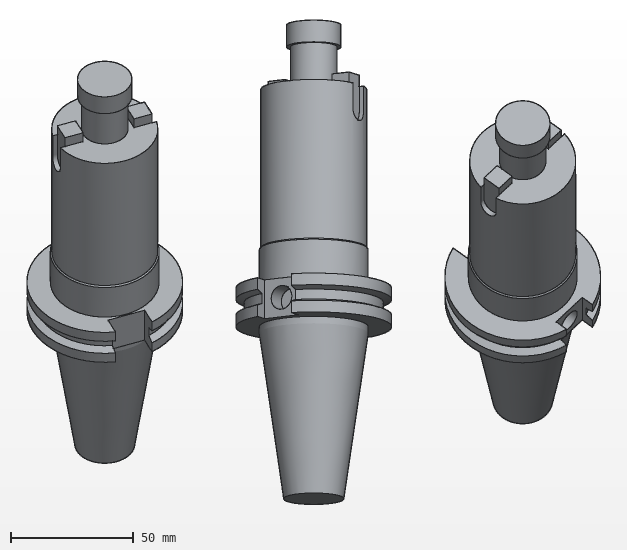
import cadquery as cq

TOTAL_HEIGHT = 196.7
TAPER_TOP = 68.5
FLANGE_BOTTOM = 71.5
FLANGE_TOP = 87.5
COLLAR_TOP = 104.0
BODY_TOP = 170.0
PILOT_TOP = 187.7

TAPER_SMALL_DIAMETER = 24.5
GAUGE_DIAMETER = 44.5
FLANGE_DIAMETER = 63.5
BODY_DIAMETER = 43.3
PILOT_DIAMETER = 19.0
SCREW_HEAD_DIAMETER = 22.2

GROOVE_DEPTH = 3.3
GROOVE_MOUTH = 6.5
GROOVE_FLANK_HEIGHT = 1.2

DRIVE_SLOT_WIDTH = 16.1
LEFT_SLOT_FLOOR = 25.2
RIGHT_SLOT_FLOOR = 22.8
FLOOR_HOLE_DIAMETER = 9.8
FLOOR_HOLE_DEPTH = 7.9

KEY_WIDTH = 8.0
KEY_OUTER_FACE = 19.3
KEY_RISE = 4.7
KEY_DROP = 15.0

KEY_INNER_FACE = KEY_OUTER_FACE - KEY_WIDTH
FLANGE_MIDDLE = (FLANGE_BOTTOM + FLANGE_TOP) / 2


def turned_holder():
    """Taper, grooved flange, collar, body and pilot in one revolved profile."""
    gauge_radius = GAUGE_DIAMETER / 2
    flange_radius = FLANGE_DIAMETER / 2
    groove_radius = flange_radius - GROOVE_DEPTH
    body_radius = BODY_DIAMETER / 2
    pilot_radius = PILOT_DIAMETER / 2
    collar_chamfer = gauge_radius - body_radius
    mouth_bottom = FLANGE_MIDDLE - GROOVE_MOUTH / 2
    mouth_top = FLANGE_MIDDLE + GROOVE_MOUTH / 2
    profile = [
        (0, 0),
        (TAPER_SMALL_DIAMETER / 2, 0),
        (gauge_radius, TAPER_TOP),
        (gauge_radius, FLANGE_BOTTOM),
        (flange_radius, FLANGE_BOTTOM),
        (flange_radius, mouth_bottom),
        (groove_radius, mouth_bottom + GROOVE_FLANK_HEIGHT),
        (groove_radius, mouth_top - GROOVE_FLANK_HEIGHT),
        (flange_radius, mouth_top),
        (flange_radius, FLANGE_TOP),
        (gauge_radius, FLANGE_TOP),
        (gauge_radius, COLLAR_TOP - collar_chamfer),
        (body_radius, COLLAR_TOP),
        (body_radius, BODY_TOP),
        (pilot_radius, BODY_TOP),
        (pilot_radius, PILOT_TOP),
        (0, PILOT_TOP),
    ]
    return cq.Workplane("XZ").polyline(profile).close().revolve(360, (0, 0, 0), (0, 1, 0))


def drive_slot(side, floor):
    """Cutter for a flange slot; side is -1 for -X and +1 for +X."""
    length = FLANGE_DIAMETER / 2
    return (
        cq.Workplane("XY")
        .box(length, DRIVE_SLOT_WIDTH, FLANGE_TOP - FLANGE_BOTTOM)
        .translate((side * (floor + length / 2), 0, FLANGE_MIDDLE))
    )


def floor_hole():
    """Cutter for the blind hole going inward from the -X slot floor."""
    return (
        cq.Workplane("YZ", origin=(-LEFT_SLOT_FLOOR, 0, FLANGE_MIDDLE))
        .circle(FLOOR_HOLE_DIAMETER / 2)
        .extrude(FLOOR_HOLE_DEPTH)
    )


def key_shape(side, outer_face, top):
    """Upright key with a round lower end; side is -1 for -Y and +1 for +Y."""
    half_width = KEY_WIDTH / 2
    bottom = BODY_TOP - KEY_DROP
    round_start = bottom + half_width
    return (
        cq.Workplane("XZ", origin=(0, side * KEY_INNER_FACE, 0))
        .moveTo(-half_width, top)
        .lineTo(-half_width, round_start)
        .threePointArc((0, bottom), (half_width, round_start))
        .lineTo(half_width, top)
        .close()
        .extrude(-side * (outer_face - KEY_INNER_FACE))
    )


def make_holder():
    holder = turned_holder()
    holder = holder.cut(drive_slot(-1, LEFT_SLOT_FLOOR))
    holder = holder.cut(drive_slot(1, RIGHT_SLOT_FLOOR))
    holder = holder.cut(floor_hole())
    for side in (-1, 1):
        holder = holder.cut(key_shape(side, GAUGE_DIAMETER / 2, BODY_TOP))
    return holder


def make_screw_head():
    """Plain round head of the lock screw, seated on the pilot."""
    return (
        cq.Workplane("XY", origin=(0, 0, PILOT_TOP))
        .circle(SCREW_HEAD_DIAMETER / 2)
        .extrude(TOTAL_HEIGHT - PILOT_TOP)
    )


def make_drive_key(side):
    return key_shape(side, KEY_OUTER_FACE, BODY_TOP + KEY_RISE)


holder = make_holder()
screw_head = make_screw_head()
drive_keys = [make_drive_key(side) for side in (-1, 1)]

result = cq.Compound.makeCompound(
    [holder.val(), screw_head.val(), *[key.val() for key in drive_keys]]
)